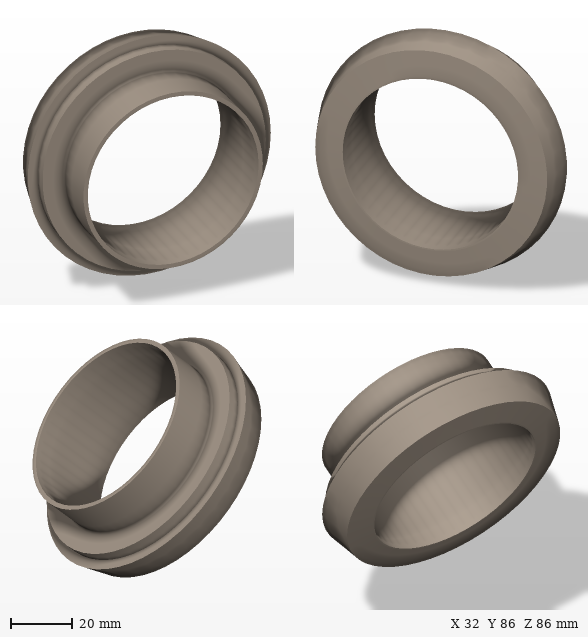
import cadquery as cq
import math

total_length = 32.0
rim_end = 11.95
shoulder_end = 16.1

rim_diameter = 86.0
nose_diameter = 80.0
shoulder_diameter = 79.0
neck_diameter = 63.5
bore_diameter = 60.5

face_angle = 5.0
lip_width = 0.5
neck_fillet = 0.8

rim_radius = rim_diameter / 2
nose_radius = nose_diameter / 2
shoulder_radius = shoulder_diameter / 2
neck_radius = neck_diameter / 2
bore_radius = bore_diameter / 2
lip_radius = bore_radius + lip_width
nose_start = (nose_radius - lip_radius) * math.tan(math.radians(face_angle))
diagonal = math.sqrt(0.5)

neck_arc_middle = (
    shoulder_end + neck_fillet * (1 - diagonal),
    neck_radius + neck_fillet * (1 - diagonal),
)

section = (
    cq.Workplane("XY")
    .moveTo(0, bore_radius)
    .lineTo(0, lip_radius)
    .lineTo(nose_start, nose_radius)
    .lineTo(rim_end, rim_radius)
    .lineTo(rim_end, shoulder_radius)
    .lineTo(shoulder_end, shoulder_radius)
    .lineTo(shoulder_end, neck_radius + neck_fillet)
    .threePointArc(neck_arc_middle, (shoulder_end + neck_fillet, neck_radius))
    .lineTo(total_length, neck_radius)
    .lineTo(total_length, bore_radius)
    .close()
)

result = section.revolve(360, (0, 0, 0), (1, 0, 0))